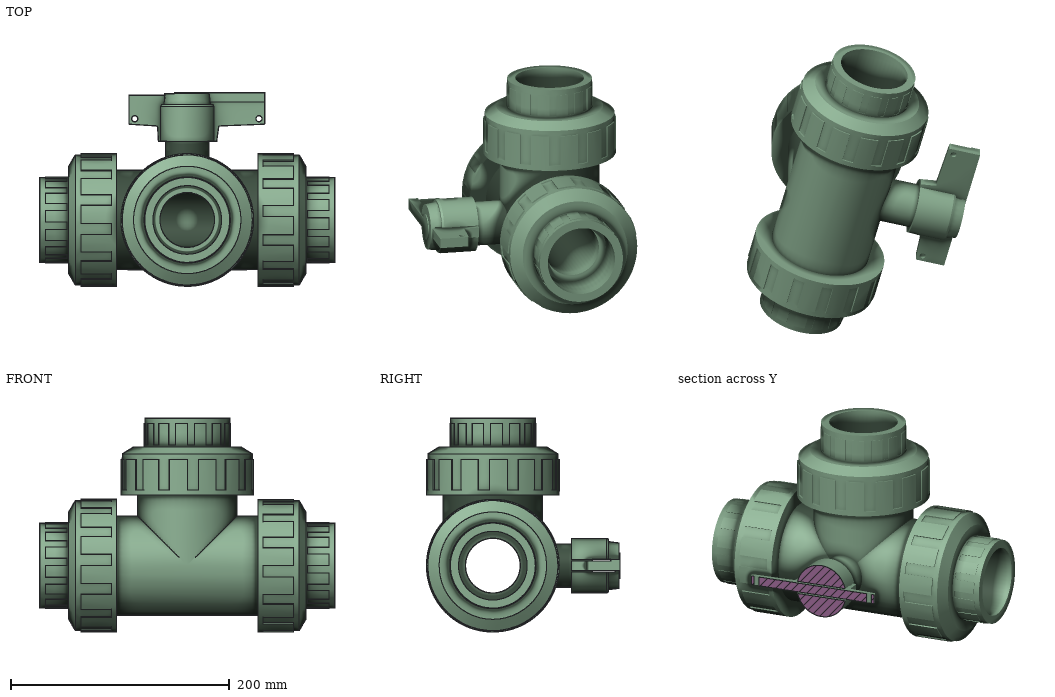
import cadquery as cq
end_reach = 135.0
body_diameter = 91.3
bore_diameter = 50.0
socket_diameter = 63.0
socket_depth = 39.0

nut_back = 64.5
nut_pocket_start = 69.0
nut_pocket_end = 97.2
nut_cone_start = 102.3
nut_face = 108.5
nut_diameter = 121.5
nut_root_diameter = 119.0
nut_face_diameter = 98.3

end_pocket_start = 110.2
end_pocket_end = 130.0
end_diameter = 78.8
end_root_diameter = 77.8

pocket_count = 14
pocket_pitch = 360 / pocket_count
pocket_angle = 9.8
pocket_phase = -85.0

stem_diameter = 40.0
stem_start = 32.5
stem_end = 91.0
hub_diameter = 50.0
hub_start = 71.8
hub_chamfer_start = 104.0
hub_chamfer_diameter = 48.3
hub_end = 105.8
cap_base_diameter = 44.3
cap_end_diameter = 41.5
cap_end = 115.5
button_diameter = 23.5
handle_end = 116.5
hub_slot_width = 11.3
hub_slot_end = 111.8

plate_thickness = 9.0
left_tip = -53.5
right_tip = 71.0
left_wing_top = 114.2
wing_tip_low = 87.5
wing_root_low = 85.9
skirt_left_top = -27.3
skirt_left_bottom = -26.5
skirt_right_top = 29.0
skirt_right_bottom = 27.0
tip_corner_radius = 1.4
root_fillet_radius = 1.0
rib_low = 107.7
tie_hole_diameter = 5.5
tie_hole_y = 92.5
tie_hole_inset = 5.5


def cylinder_z(diameter, start, end):
    return cq.Workplane("XY").workplane(offset=start).circle(diameter / 2).extrude(end - start)


def cylinder_x(diameter, start, end):
    return cq.Workplane("YZ").workplane(offset=start).circle(diameter / 2).extrude(end - start)


def revolve_z(points):
    """Full turn about Z of a closed outline of (radius, height) points."""
    return cq.Workplane("XZ").polyline(points).close().revolve(360, (0, 0, 0), (0, 1, 0))


def grip_sleeve(root_diameter, rim_diameter, back, pocket_start, pocket_end):
    """Sleeve around Z, notched by pockets; its inside is buried in the core it grips."""
    sleeve_inner = root_diameter / 2 - (rim_diameter - root_diameter)
    sleeve = cylinder_z(rim_diameter, back, pocket_end)
    sleeve = sleeve.cut(cylinder_z(2 * sleeve_inner, back, pocket_end))
    notch = (
        cq.Workplane("XZ")
        .moveTo(0, pocket_start)
        .rect(rim_diameter, pocket_end - pocket_start, centered=False)
        .revolve(pocket_angle, (0, 0, 0), (0, 1, 0))
    )
    first_turn = pocket_phase - pocket_angle / 2
    for index in range(pocket_count):
        turn = first_turn + index * pocket_pitch
        sleeve = sleeve.cut(notch.rotate((0, 0, 0), (0, 0, 1), turn))
    return sleeve


def make_union_end():
    """Union nut and end connector on the +Z port, solid inside."""
    core = revolve_z([
        (0, nut_back),
        (nut_root_diameter / 2, nut_back),
        (nut_root_diameter / 2, nut_cone_start),
        (nut_face_diameter / 2, nut_face),
        (end_root_diameter / 2, nut_face),
        (end_root_diameter / 2, end_reach),
        (0, end_reach),
    ])
    nut_grip = grip_sleeve(
        nut_root_diameter, nut_diameter, nut_back, nut_pocket_start, nut_pocket_end
    )
    end_grip = grip_sleeve(
        end_root_diameter, end_diameter, nut_face, end_pocket_start, end_pocket_end
    )
    return core.union(nut_grip).union(end_grip)


def make_tee():
    """Body with a union end on the left, top and right ports."""
    tee = cylinder_x(body_diameter, -nut_back, nut_back)
    tee = tee.union(cylinder_z(body_diameter, 0, nut_back))
    union_end = make_union_end()
    for turn in (-90, 0, 90):
        tee = tee.union(union_end.rotate((0, 0, 0), (0, 1, 0), turn))
    return tee


def cut_passages(tee):
    """Straight bore along the run, bore up the branch, socket at each end."""
    tee = tee.cut(cylinder_x(bore_diameter, -end_reach, end_reach))
    tee = tee.cut(cylinder_z(bore_diameter, 0, end_reach))
    socket = cylinder_z(socket_diameter, end_reach - socket_depth, end_reach)
    for turn in (-90, 0, 90):
        tee = tee.cut(socket.rotate((0, 0, 0), (0, 1, 0), turn))
    return tee


def make_hub():
    """Two hub shells under a tapered cap, held apart around the stem."""
    profile = [
        (0, hub_start),
        (hub_diameter / 2, hub_start),
        (hub_diameter / 2, hub_chamfer_start),
        (hub_chamfer_diameter / 2, hub_end),
        (cap_base_diameter / 2, hub_end),
        (cap_end_diameter / 2, cap_end),
        (button_diameter / 2, cap_end),
        (button_diameter / 2, handle_end),
        (0, handle_end),
    ]
    hub = cq.Workplane("XY").polyline(profile).close().revolve(360, (0, 0, 0), (0, 1, 0))
    slot_length = hub_slot_end - hub_start
    slot = cq.Workplane("XY").box(
        hub_diameter, slot_length, hub_slot_width, centered=(True, False, True)
    )
    return hub.cut(slot.translate((0, hub_start, 0)))


def make_handle_plate():
    """Flat two-winged lever with a skirt below the wings."""
    outline = [
        (left_tip, left_wing_top),
        (left_tip, wing_tip_low),
        (skirt_left_top, wing_root_low),
        (skirt_left_bottom, hub_start),
        (skirt_right_bottom, hub_start),
        (skirt_right_top, wing_root_low),
        (right_tip, wing_tip_low),
        (right_tip, handle_end),
        (0, handle_end),
        (0, left_wing_top),
    ]
    plate = (
        cq.Workplane("XY")
        .workplane(offset=-plate_thickness / 2)
        .polyline(outline)
        .close()
        .extrude(plate_thickness)
    )
    for tip in (left_tip, right_tip):
        corner = cq.selectors.NearestToPointSelector((tip, wing_tip_low, 0))
        plate = plate.edges("|Z").edges(corner).fillet(tip_corner_radius)
    for root in (skirt_left_top, skirt_right_top):
        corner = cq.selectors.NearestToPointSelector((root, wing_root_low, 0))
        plate = plate.edges("|Z").edges(corner).fillet(root_fillet_radius)

    rib = cq.Workplane("XY").box(
        right_tip, handle_end - rib_low, hub_slot_width / 2, centered=False
    )
    plate = plate.union(rib.translate((0, rib_low, 0)))

    holes = (
        cq.Workplane("XY")
        .pushPoints([
            (left_tip + tie_hole_inset, tie_hole_y),
            (right_tip - tie_hole_inset, tie_hole_y),
        ])
        .circle(tie_hole_diameter / 2)
        .extrude(plate_thickness, both=True)
    )
    return plate.cut(holes)


def make_stem():
    """Round stem from inside the body wall up into the hub."""
    return (
        cq.Workplane("XZ")
        .workplane(offset=-stem_start)
        .circle(stem_diameter / 2)
        .extrude(stem_start - stem_end)
    )


tee = cut_passages(make_tee().union(make_stem()))
result = tee.union(make_hub()).union(make_handle_plate())